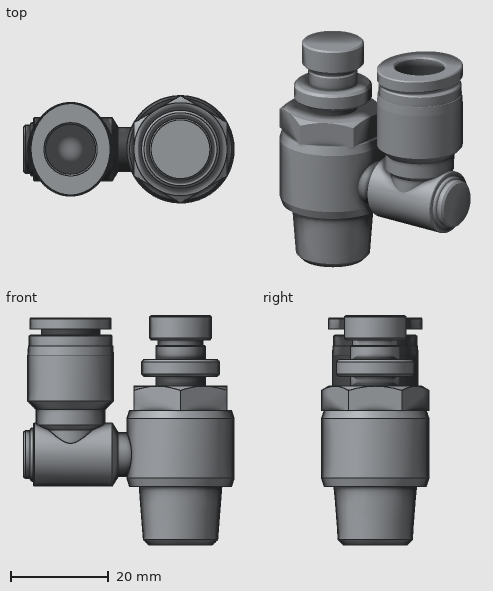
import cadquery as cq
import math

TOTAL_HEIGHT = 47.0
TOTAL_LENGTH = 43.2
ARM_AXIS_Z = 18.5
PORT_X = -22.5

PLUG_TOP_RADIUS = 8.45
PLUG_BOTTOM_RADIUS = 7.6
PLUG_CHAMFER = 1.15

BODY_RADIUS = 11.0
BODY_BOTTOM_Z = 12.0
BODY_TOP_Z = 27.6
BODY_EDGE_WIDTH = 0.55
BODY_EDGE_HEIGHT = 1.7

HEX_TOP_Z = 32.52
HEX_FLATS = 2 * BODY_RADIUS * math.cos(math.pi / 6)
HEX_CHAMFER_ANGLE = math.radians(30)

STEM_RADIUS = 5.08
STEM_TOP_Z = 40.9
STEM_CHAMFER = 0.25
NECK_RADIUS = 4.65
RING_RADIUS = 8.0
RING_BOTTOM_Z = 34.5
RING_TOP_Z = 38.0
RING_CHAMFER = 0.5
KNOB_RADIUS = 6.35
KNOB_BOTTOM_Z = 42.0
KNOB_CHAMFER = 0.35

ARM_END_X = BODY_RADIUS - TOTAL_LENGTH
ARM_CAP_RADIUS = 4.95
ARM_CAP_CHAMFER = 0.4
ARM_LIP_X = -30.8
ARM_LIP_RADIUS = 5.5
ARM_BARREL_X = -30.1
ARM_BARREL_RADIUS = 6.5
ARM_BARREL_CHAMFER = 0.15
ARM_CONE_X = -14.0
ARM_PIPE_X = -12.8
ARM_PIPE_RADIUS = 4.5

ROOT_RADIUS = 6.05
COLLAR_RADIUS = 7.05
COLLAR_BOTTOM_Z = 24.6
COLLAR_TOP_Z = 27.75
SLEEVE_RADIUS = 8.8
SLEEVE_BOTTOM_Z = 29.5
SLEEVE_TAPER_Z = 38.78
SLEEVE_TAPER_RADIUS = 8.65
CAP_RADIUS = 8.5
CAP_BOTTOM_Z = 40.75
CAP_TOP_Z = 43.0
CAP_CHAMFER = 0.25
RELEASE_NECK_RADIUS = 6.0

BUTTON_BOTTOM_Z = 44.25
BUTTON_TOP_Z = 46.55
BUTTON_HALF_X = 8.3
BUTTON_HALF_Y = 9.6
BUTTON_CHAMFER = 0.25
BORE_RADIUS = 5.1
BORE_CHAMFER = 0.35
BORE_FLOOR_Z = SLEEVE_BOTTOM_Z


def turned(profile, axis_x=0.0):
    """Revolve (radius, z) points, closed along the axis, about a vertical axis."""
    points = [(0, profile[0][1])] + profile + [(0, profile[-1][1])]
    solid = cq.Workplane("XZ").polyline(points).close().revolve(360, (0, 0, 0), (0, 1, 0))
    return solid.translate((axis_x, 0, 0))


def rod(radius, bottom_z, top_z, axis_x=0.0):
    return turned([(radius, bottom_z), (radius, top_z)], axis_x)


def make_body():
    edge_radius = BODY_RADIUS - BODY_EDGE_WIDTH
    return turned([
        (PLUG_BOTTOM_RADIUS - PLUG_CHAMFER, 0),
        (PLUG_BOTTOM_RADIUS, PLUG_CHAMFER),
        (PLUG_TOP_RADIUS, BODY_BOTTOM_Z),
        (edge_radius, BODY_BOTTOM_Z),
        (BODY_RADIUS, BODY_BOTTOM_Z + BODY_EDGE_HEIGHT),
        (BODY_RADIUS, BODY_TOP_Z - BODY_EDGE_HEIGHT),
        (edge_radius, BODY_TOP_Z),
    ])


def make_hexagon():
    prism = (
        cq.Workplane("XY", origin=(0, 0, BODY_TOP_Z))
        .transformed(rotate=(0, 0, 90))
        .polygon(6, 2 * BODY_RADIUS)
        .extrude(HEX_TOP_Z - BODY_TOP_Z)
    )
    flat_radius = HEX_FLATS / 2
    cone_drop = HEX_TOP_Z - BODY_TOP_Z
    cone_radius = flat_radius + cone_drop / math.tan(HEX_CHAMFER_ANGLE)
    return prism.intersect(turned([(cone_radius, BODY_TOP_Z), (flat_radius, HEX_TOP_Z)]))


def make_stem():
    stem = rod(STEM_RADIUS, HEX_TOP_Z, STEM_TOP_Z).faces(">Z").chamfer(STEM_CHAMFER)
    ring = rod(RING_RADIUS, RING_BOTTOM_Z, RING_TOP_Z).faces("<Z or >Z").chamfer(RING_CHAMFER)
    neck = rod(NECK_RADIUS, STEM_TOP_Z, KNOB_BOTTOM_Z)
    knob = rod(KNOB_RADIUS, KNOB_BOTTOM_Z, TOTAL_HEIGHT).faces("<Z or >Z").chamfer(KNOB_CHAMFER)
    return stem.union(ring).union(neck).union(knob)


def make_arm():
    """Turned arm along X, with a quarter-round lip behind the end cap."""
    lip_round = ARM_LIP_RADIUS - ARM_CAP_RADIUS
    lip_mid_x = ARM_LIP_X + lip_round * (1 - math.sqrt(0.5))
    lip_mid_radius = ARM_CAP_RADIUS + lip_round * math.sqrt(0.5)
    return (
        cq.Workplane("XZ")
        .moveTo(ARM_END_X, 0)
        .lineTo(ARM_END_X, ARM_CAP_RADIUS - ARM_CAP_CHAMFER)
        .lineTo(ARM_END_X + ARM_CAP_CHAMFER, ARM_CAP_RADIUS)
        .lineTo(ARM_LIP_X, ARM_CAP_RADIUS)
        .threePointArc((lip_mid_x, lip_mid_radius), (ARM_LIP_X + lip_round, ARM_LIP_RADIUS))
        .lineTo(ARM_BARREL_X, ARM_LIP_RADIUS)
        .lineTo(ARM_BARREL_X, ARM_BARREL_RADIUS - ARM_BARREL_CHAMFER)
        .lineTo(ARM_BARREL_X + ARM_BARREL_CHAMFER, ARM_BARREL_RADIUS)
        .lineTo(ARM_CONE_X, ARM_BARREL_RADIUS)
        .lineTo(ARM_PIPE_X, ARM_PIPE_RADIUS)
        .lineTo(0, ARM_PIPE_RADIUS)
        .lineTo(0, 0)
        .close()
        .revolve(360, (0, 0, 0), (1, 0, 0))
        .translate((0, 0, ARM_AXIS_Z))
    )


def make_port():
    return turned([
        (ROOT_RADIUS, ARM_AXIS_Z),
        (ROOT_RADIUS, COLLAR_BOTTOM_Z - (COLLAR_RADIUS - ROOT_RADIUS)),
        (COLLAR_RADIUS, COLLAR_BOTTOM_Z),
        (COLLAR_RADIUS, COLLAR_TOP_Z),
        (SLEEVE_RADIUS, SLEEVE_BOTTOM_Z),
        (SLEEVE_RADIUS, SLEEVE_TAPER_Z),
        (SLEEVE_TAPER_RADIUS, CAP_BOTTOM_Z),
        (CAP_RADIUS, CAP_BOTTOM_Z),
        (CAP_RADIUS, CAP_TOP_Z - CAP_CHAMFER),
        (CAP_RADIUS - CAP_CHAMFER, CAP_TOP_Z),
        (RELEASE_NECK_RADIUS, CAP_TOP_Z),
        (RELEASE_NECK_RADIUS, BUTTON_BOTTOM_Z),
    ], PORT_X)


def make_button():
    return (
        cq.Workplane("XY", origin=(PORT_X, 0, BUTTON_BOTTOM_Z))
        .ellipse(BUTTON_HALF_X, BUTTON_HALF_Y)
        .extrude(BUTTON_TOP_Z - BUTTON_BOTTOM_Z)
        .faces(">Z")
        .chamfer(BUTTON_CHAMFER)
    )


def make_bore():
    return turned([
        (BORE_RADIUS, BORE_FLOOR_Z),
        (BORE_RADIUS, BUTTON_TOP_Z - BORE_CHAMFER),
        (BORE_RADIUS + BORE_CHAMFER, BUTTON_TOP_Z),
    ], PORT_X)


valve = make_body().union(make_hexagon()).union(make_stem())
fitting = make_arm().union(make_port()).union(make_button())
result = valve.union(fitting).cut(make_bore())